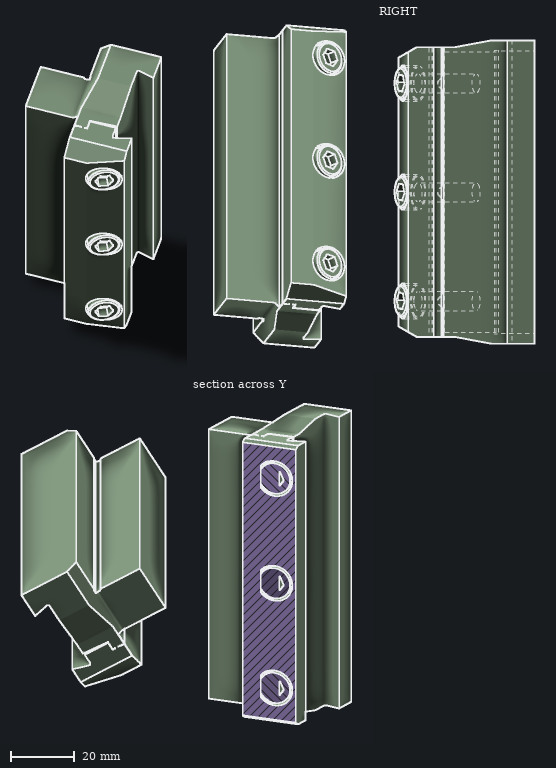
import cadquery as cq
import math


length = 95.0
width = 35.8
block_front_y = -42.7
block_left_x = 16.0
jaw_left_x = 17.1

shank_height = 87.8
shank_back_y = -12.2
shank_front_y = -28.2
root_blend_radius = 1.5

relief_back_y = -11.3
relief_floor_y = -12.6
relief_start_x = 14.6
relief_block_x = 16.15

raised_end_y = -13.7
low_start_y = -24.9
end_drop = 2.1
shoulder_x = 19.3
front_chamfer_start_y = -36.9
front_chamfer_height = 3.3

seat_x = 30.1
clamp_seat_x = 29.8
flank_angle = 15.0
flank_root_radius = 0.6
upper_lip_y = -8.55
lower_lip_y = -31.6

slope_start_x = 24.4
slope_angle = 15.0

step_y = -31.9
step_x = 21.3
web_left_x = 19.4
web_right_x = 20.5
kerf = 0.1
foot_gap = 0.3
jaw_gap_back_y = -28.9
jaw_gap_mouth_y = -28.5
jaw_gap_front_y = -29.2

screw_count = 3
screw_pitch = 34.1
screw_tilt = 25.0
screw_top_x = 30.0
screw_top_y = -42.0
head_diameter = 10.0
head_height = 6.0
head_chamfer = 0.5
thread_diameter = 6.0
thread_length = 20.0
counterbore_diameter = 11.2
counterbore_run_out = 9.5
socket_across_flats = 5.0
socket_depth = 3.2
socket_turn = 24.0


def slope_rise(run, angle):
    """Rise of a line at the given angle in degrees over a run."""
    return run * math.tan(math.radians(angle))


def plan_prism():
    """Plan outline of shank, back part and clamping jaw, full length."""
    upper_flank_y = upper_lip_y + slope_rise(width - seat_x, flank_angle)
    lower_flank_y = lower_lip_y - slope_rise(width - clamp_seat_x, flank_angle)
    slope_end_y = block_front_y + slope_rise(width - slope_start_x, slope_angle)
    relief_depth = shank_back_y - relief_floor_y
    outline = [
        (0, shank_back_y),
        (relief_start_x - relief_depth, shank_back_y),
        (relief_start_x, relief_floor_y),
        (relief_block_x, relief_floor_y),
        (relief_block_x, relief_back_y),
        (block_left_x, relief_back_y),
        (block_left_x, 0),
        (width, 0),
        (width, upper_lip_y),
        (seat_x, upper_flank_y),
        (seat_x, jaw_gap_front_y),
        (clamp_seat_x, jaw_gap_front_y),
        (clamp_seat_x, lower_flank_y),
        (width, lower_lip_y),
        (width, slope_end_y),
        (slope_start_x, block_front_y),
        (jaw_left_x, block_front_y),
        (jaw_left_x, shank_front_y),
        (0, shank_front_y),
    ]
    prism = cq.Workplane("XY").polyline(outline).close().extrude(length / 2, both=True)
    for root in [(seat_x, upper_flank_y, 0), (clamp_seat_x, lower_flank_y, 0)]:
        prism = prism.edges(cq.selectors.NearestToPointSelector(root)).fillet(flank_root_radius)
    return prism


def end_shoulder_prism():
    """Outline in X and Z: 45 degree shoulders that blend into the shank ends."""
    root_x = shoulder_x - (length - shank_height) / 2
    outline = [
        (0, -shank_height / 2),
        (root_x, -shank_height / 2),
        (shoulder_x, -length / 2),
        (width, -length / 2),
        (width, length / 2),
        (shoulder_x, length / 2),
        (root_x, shank_height / 2),
        (0, shank_height / 2),
    ]
    prism = cq.Workplane("XZ").polyline(outline).close().extrude(-block_front_y)
    for root_z in (-shank_height / 2, shank_height / 2):
        root = (root_x, block_front_y / 2, root_z)
        prism = prism.edges(cq.selectors.NearestToPointSelector(root)).fillet(root_blend_radius)
    return prism


def end_slope_prism():
    """Outline in Y and Z: both ends fall from the raised back to the chamfered front."""
    low_z = length / 2 - end_drop
    front_z = low_z - front_chamfer_height
    upper = [
        (0, length / 2),
        (raised_end_y, length / 2),
        (low_start_y, low_z),
        (front_chamfer_start_y, low_z),
        (block_front_y, front_z),
    ]
    lower = [(y, -z) for y, z in reversed(upper)]
    return cq.Workplane("YZ").polyline(upper + lower).close().extrude(width)


def clamping_slit():
    """Wedge gap at the foot and a stepped gap behind the jaw; a thin web stays between them."""
    foot = [
        (jaw_left_x, step_y),
        (web_left_x, step_y),
        (jaw_left_x, step_y - foot_gap),
    ]
    jaw = [
        (web_right_x, step_y),
        (step_x, step_y),
        (step_x, jaw_gap_back_y),
        (seat_x, jaw_gap_mouth_y),
        (seat_x, jaw_gap_front_y),
        (step_x + kerf, jaw_gap_front_y),
        (step_x + kerf, step_y - kerf),
        (web_right_x, step_y - kerf),
    ]
    slit = cq.Workplane("XY").polyline(foot).close().extrude(length / 2, both=True)
    return slit.union(cq.Workplane("XY").polyline(jaw).close().extrude(length / 2, both=True))


def screw_plane(z):
    """Plane on top of a screw head, its normal pointing out along the screw axis."""
    tilt = math.radians(screw_tilt)
    return cq.Plane(
        origin=(screw_top_x, screw_top_y, z),
        xDir=(math.cos(tilt), math.sin(tilt), 0),
        normal=(math.sin(tilt), -math.cos(tilt), 0),
    )


def screw_hole(z):
    """Counterbore for the head and a blind hole filled by the thread."""
    plane = screw_plane(z)
    seat = cq.Workplane(plane).workplane(offset=-head_height)
    counterbore = seat.circle(counterbore_diameter / 2).extrude(head_height + counterbore_run_out)
    return counterbore.union(seat.circle(thread_diameter / 2).extrude(-thread_length))


def make_screw(z):
    """Cap screw with a chamfered head and a hexagon socket."""
    plane = screw_plane(z)
    head = cq.Workplane(plane).circle(head_diameter / 2).extrude(-head_height)
    head = head.edges(cq.selectors.DirectionMinMaxSelector(plane.zDir, True)).chamfer(head_chamfer)
    thread = (
        cq.Workplane(plane)
        .workplane(offset=-head_height)
        .circle(thread_diameter / 2)
        .extrude(-thread_length)
    )
    socket = (
        cq.Workplane(plane)
        .transformed(rotate=(0, 0, socket_turn))
        .polygon(6, socket_across_flats, circumscribed=True)
        .extrude(-socket_depth)
    )
    return head.union(thread).cut(socket)


def make_block(screw_heights):
    """Shank, block and clamping jaw in one piece, with the screw holes."""
    block = plan_prism().intersect(end_shoulder_prism()).intersect(end_slope_prism())
    block = block.cut(clamping_slit())
    for z in screw_heights:
        block = block.cut(screw_hole(z))
    return block


screw_heights = [(i - (screw_count - 1) / 2) * screw_pitch for i in range(screw_count)]
block = make_block(screw_heights)
screws = [make_screw(z) for z in screw_heights]

result = cq.Compound.makeCompound([block.val()] + [screw.val() for screw in screws])